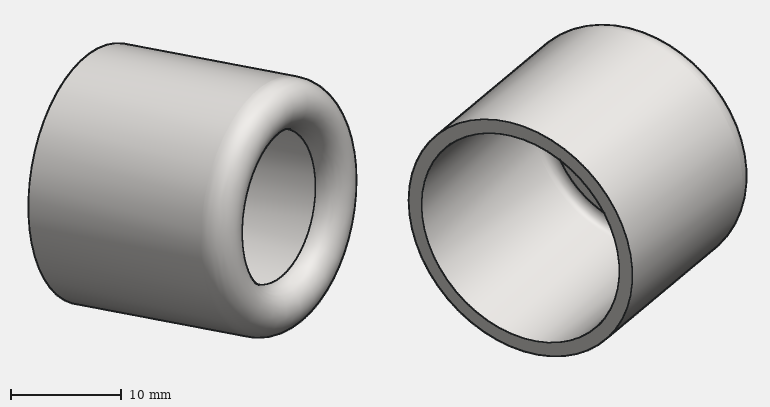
import cadquery as cq

length = 21.0
outer_radius = 24 / 2
bore_radius = 21.2 / 2
lip_outer_radius = 17.1 / 2
lip_inner_radius = 14.3 / 2

roll_outer_radius = (outer_radius - lip_inner_radius) / 2
roll_inner_radius = (bore_radius - lip_outer_radius) / 2
roll_middle_radius = (outer_radius + lip_inner_radius) / 2
roll_start = length - roll_outer_radius

wall_section = (
    cq.Workplane("XY")
    .moveTo(0, bore_radius)
    .lineTo(0, outer_radius)
    .lineTo(roll_start, outer_radius)
    .threePointArc((length, roll_middle_radius), (roll_start, lip_inner_radius))
    .lineTo(roll_start, lip_outer_radius)
    .threePointArc(
        (roll_start + roll_inner_radius, roll_middle_radius),
        (roll_start, bore_radius),
    )
    .close()
)

result = wall_section.revolve(360, (0, 0, 0), (1, 0, 0))